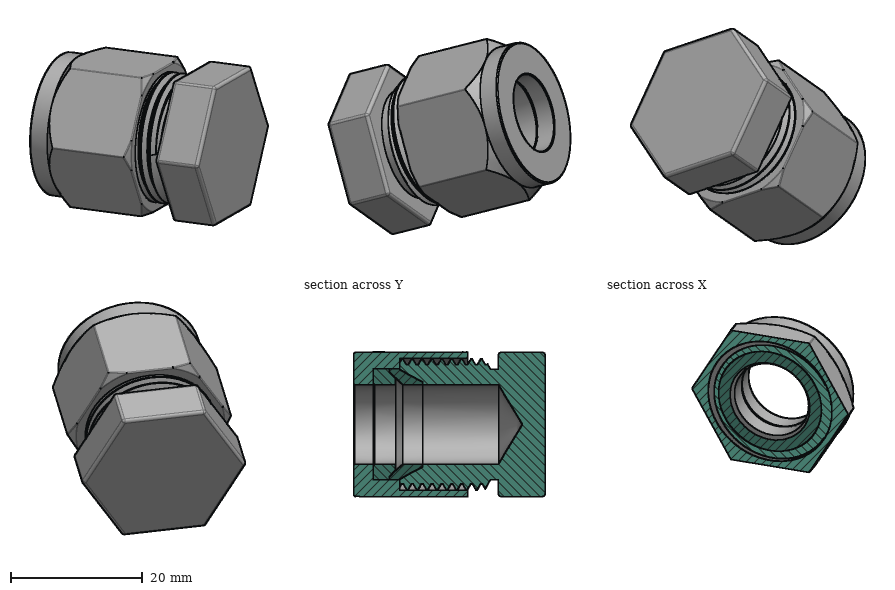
import cadquery as cq
import math

across_flats = 22.0
total_length = 29.1
tube_bore_radius = 6.0

collar_length = 3.0
collar_edge_chamfer = 0.2
nut_length = 17.35
nut_mouth_chamfer = 0.15
nut_edge_fillet = 0.17
nut_back_chamfer_radius = 11.45
nut_back_chamfer_angle = 30.0
ferrule_chamber_radius = 8.4

rear_ferrule_start_x = collar_length
rear_ferrule_rim_chamfer = 0.2
rear_ferrule_nose_x = 6.35

front_ferrule_start_x = 5.4
socket_end_x = 7.45
socket_half_angle = 45.0
front_ferrule_nose_x = 10.5
front_ferrule_nose_wall = 0.5

plug_start_x = 7.0
thread_radius = 10.0
thread_pitch = 1.5
thread_depth = 0.92
thread_crest_width = thread_pitch / 8
thread_flank_angle = 30.0
thread_end_x = 20.8
thread_runout_x = 20.52
thread_end_chamfer_angle = 30.0
neck_radius = 8.42
head_start_x = 21.95
head_edge_fillet = 0.5
plug_bore_end_x = 22.0
drill_point_angle = 118.0

flat_radius = across_flats / 2
corner_radius = flat_radius / math.cos(math.radians(30))
front_ferrule_nose_radius = tube_bore_radius + front_ferrule_nose_wall


def socket_radius(x):
    """Radius of the front ferrule's conical socket, which narrows to the tube bore."""
    return tube_bore_radius + (socket_end_x - x) * math.tan(math.radians(socket_half_angle))


def revolve_profile(points):
    """Revolve a closed (x, radius) outline about the X axis."""
    return cq.Workplane("XY").polyline(points).close().revolve(360, (0, 0, 0), (1, 0, 0))


def hex_prism(start_x, end_x):
    """Hexagonal prism along X with flats on top and bottom."""
    return (
        cq.Workplane("YZ", origin=(start_x, 0, 0))
        .polygon(6, 2 * corner_radius)
        .extrude(end_x - start_x)
    )


def make_nut():
    """Hex nut with a round collar, rounded edges and a stepped cavity."""
    selection_margin = 0.05
    back_chamfer_length = (corner_radius - nut_back_chamfer_radius) * math.tan(
        math.radians(nut_back_chamfer_angle)
    )
    front_chamfer_end_x = collar_length + corner_radius - flat_radius
    hexagon = hex_prism(0, nut_length).edges("|X").fillet(nut_edge_fillet)
    envelope = revolve_profile([
        (0, 0),
        (0, flat_radius - collar_edge_chamfer),
        (collar_edge_chamfer, flat_radius),
        (collar_length, flat_radius),
        (front_chamfer_end_x, corner_radius),
        (nut_length - back_chamfer_length, corner_radius),
        (nut_length, nut_back_chamfer_radius),
        (nut_length, 0),
    ])
    back_edges = cq.selectors.BoxSelector(
        (nut_length - back_chamfer_length - selection_margin, -corner_radius, -corner_radius),
        (nut_length + selection_margin, corner_radius, corner_radius),
    )
    cavity = revolve_profile([
        (0, 0),
        (0, tube_bore_radius + nut_mouth_chamfer),
        (nut_mouth_chamfer, tube_bore_radius),
        (rear_ferrule_start_x, tube_bore_radius),
        (rear_ferrule_start_x, ferrule_chamber_radius),
        (plug_start_x, ferrule_chamber_radius),
        (plug_start_x, thread_radius),
        (nut_length, thread_radius),
        (nut_length, 0),
    ])
    outside = hexagon.intersect(envelope).edges(back_edges).fillet(nut_edge_fillet)
    return outside.cut(cavity).solids()


def make_rear_ferrule():
    """Ring with a conical nose that sits in the front ferrule's socket."""
    return revolve_profile([
        (rear_ferrule_start_x, tube_bore_radius + rear_ferrule_rim_chamfer),
        (rear_ferrule_start_x, ferrule_chamber_radius),
        (front_ferrule_start_x, ferrule_chamber_radius),
        (front_ferrule_start_x, socket_radius(front_ferrule_start_x)),
        (rear_ferrule_nose_x, socket_radius(rear_ferrule_nose_x)),
        (rear_ferrule_nose_x, tube_bore_radius),
        (rear_ferrule_start_x + rear_ferrule_rim_chamfer, tube_bore_radius),
    ])


def make_front_ferrule():
    """Ring with a conical socket at the back and a long tapered nose."""
    return revolve_profile([
        (front_ferrule_start_x, socket_radius(front_ferrule_start_x)),
        (front_ferrule_start_x, ferrule_chamber_radius),
        (plug_start_x, ferrule_chamber_radius),
        (front_ferrule_nose_x, front_ferrule_nose_radius),
        (front_ferrule_nose_x, tube_bore_radius),
        (socket_end_x, tube_bore_radius),
    ])


def thread_groove():
    """Helical V groove with a flat root that stops on the -Y side at the runout."""
    crest_clearance = 0.3
    opening = thread_pitch - thread_crest_width
    flank_slope = math.tan(math.radians(thread_flank_angle))
    root_radius = thread_radius - thread_depth
    outer_radius = thread_radius + crest_clearance
    root_half_width = opening / 2 - thread_depth * flank_slope
    outer_half_width = opening / 2 + crest_clearance * flank_slope
    helix_length = math.ceil((thread_runout_x - plug_start_x) / thread_pitch) * thread_pitch
    helix = cq.Wire.makeHelix(thread_pitch, helix_length, root_radius)
    groove = (
        cq.Workplane("XZ")
        .polyline([
            (root_radius, -root_half_width),
            (outer_radius, -outer_half_width),
            (outer_radius, outer_half_width),
            (root_radius, root_half_width),
        ])
        .close()
        .sweep(cq.Workplane(helix), isFrenet=True)
    )
    return (
        groove.rotate((0, 0, 0), (0, 1, 0), 90)
        .rotate((0, 0, 0), (1, 0, 0), -90)
        .translate((thread_runout_x - helix_length, 0, 0))
    )


def make_plug():
    """Threaded shank with a neck and a hex head, holding a blind tube bore with a tapered mouth."""
    chamfer_length = (thread_radius - neck_radius) * math.tan(math.radians(thread_end_chamfer_angle))
    shank = revolve_profile([
        (plug_start_x, 0),
        (plug_start_x, thread_radius),
        (thread_end_x - chamfer_length, thread_radius),
        (thread_end_x, neck_radius),
        (head_start_x, neck_radius),
        (head_start_x, 0),
    ])
    head = hex_prism(head_start_x, total_length).edges().fillet(head_edge_fillet)
    drill_point_depth = tube_bore_radius / math.tan(math.radians(drill_point_angle / 2))
    bore = revolve_profile([
        (plug_start_x, 0),
        (plug_start_x, ferrule_chamber_radius),
        (front_ferrule_nose_x, front_ferrule_nose_radius),
        (front_ferrule_nose_x, tube_bore_radius),
        (plug_bore_end_x, tube_bore_radius),
        (plug_bore_end_x + drill_point_depth, 0),
    ])
    return shank.cut(thread_groove()).union(head).cut(bore).solids()


nut = make_nut()
rear_ferrule = make_rear_ferrule()
front_ferrule = make_front_ferrule()
plug = make_plug()

result = cq.Compound.makeCompound([nut.val(), rear_ferrule.val(), front_ferrule.val(), plug.val()])